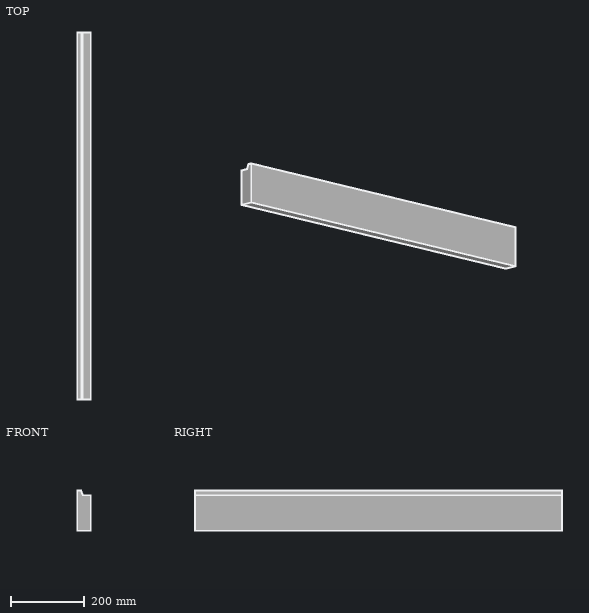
import cadquery as cq

width = 38.0
length = 1000.0
height = 110.0

lip_width = 11.0
slope_width = 5.0
step_depth = 13.0
ledge_height = height - step_depth
ledge_start = lip_width + slope_width

profile = (
    cq.Workplane("XZ")
    .moveTo(0, 0)
    .lineTo(width, 0)
    .lineTo(width, ledge_height)
    .lineTo(ledge_start, ledge_height)
    .lineTo(lip_width, height)
    .lineTo(0, height)
    .close()
)

result = profile.extrude(length / 2, both=True)